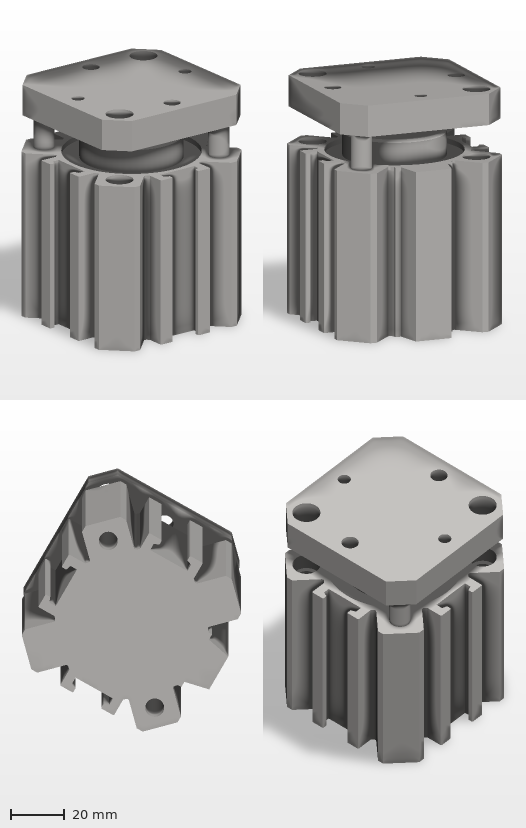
import cadquery as cq

total_height = 91.0
body_width = 67.0
body_height = 65.0
plate_width = 65.0
plate_thickness = 12.0
plate_chamfer = 8.0
half_body = body_width / 2
plate_bottom = total_height - plate_thickness

corner_chamfer = 9.6
lip_outer_side = 11.6
lip_edge_chamfer = 0.3
groove_outer = 21.4
groove_depth = 8.4
groove_fillet = 0.9

slot_half_opening = 6.0
slot_half_width = 8.0
slot_depth = 5.5
lip_tip_thickness = 2.0
lip_root_thickness = 2.7

port_depth_overall = 71.0
port_face_half_width = 7.2
port_slope = 0.22

collar_diameter = 39.0
collar_height = 8.0
collar_chamfer = 1.0
recess_diameter = 52.5
recess_depth = 2.0

corner_offset = 23.3
mount_hole_diameter = 7.0
counterbore_diameter = 10.5
counterbore_depth = 6.5
plate_hole_offset = 25.0
plate_hole_x_diameter = 6.5
plate_hole_y_diameter = 4.9

guide_rod_diameter = 8.0
piston_rod_diameter = 20.0
rod_flat_distance = 17.1
rod_flat_height = 4.4
rod_end_chamfer = 0.5

mount_points = [(-corner_offset, corner_offset), (corner_offset, -corner_offset)]
guide_points = [(-corner_offset, -corner_offset), (corner_offset, corner_offset)]
slotted_side_angles = [0, 90, -90]
all_side_angles = slotted_side_angles + [180]


def cylinder(diameter, bottom, height, points=((0, 0),)):
    """Upright cylinders of one size at the given points."""
    return (
        cq.Workplane("XY").workplane(offset=bottom)
        .pushPoints(points).circle(diameter / 2).extrude(height)
    )


def chamfered_square(width, chamfer, bottom, height):
    """Square block whose four upright edges are chamfered."""
    block = cq.Workplane("XY").box(width, width, height, centered=(True, True, False))
    return block.edges("|Z").chamfer(chamfer).translate((0, 0, bottom))


def side_prism(points):
    """Full-height prism on the -Y side, from (place along X, depth below the side)."""
    outline = [(along, depth - half_body) for along, depth in points]
    return cq.Workplane("XY").polyline(outline).close().extrude(body_height)


def turned(shape, angle):
    """Copy turned about the Z axis, to move a side feature to another side."""
    return shape.rotate((0, 0, 0), (0, 0, 1), angle)


def corner_groove():
    """Groove between a slot lip and a corner post; its floor is square to the slanted wall."""
    foot = groove_outer - groove_depth
    inner_depth = groove_depth - (foot - lip_outer_side)
    groove = side_prism([
        (lip_outer_side - lip_edge_chamfer, 0),
        (lip_outer_side, lip_edge_chamfer),
        (lip_outer_side, inner_depth),
        (foot, groove_depth),
        (groove_outer, 0),
    ])
    foot_point = (foot, groove_depth - half_body, body_height / 2)
    foot_edge = cq.selectors.NearestToPointSelector(foot_point)
    return groove.edges("|Z").edges(foot_edge).fillet(groove_fillet)


def sensor_slot():
    """Slot with a narrow mouth between two tapered lips."""
    half = [
        (slot_half_opening + lip_edge_chamfer, 0),
        (slot_half_opening, lip_edge_chamfer),
        (slot_half_opening, lip_tip_thickness),
        (slot_half_width, lip_root_thickness),
        (slot_half_width, slot_depth),
    ]
    return side_prism(half + [(-along, depth) for along, depth in reversed(half)])


def port_side_clearance():
    """Removes the lips and slot on the port side down to the slot floor."""
    return side_prism([
        (-lip_outer_side, 0),
        (-lip_outer_side, slot_depth),
        (lip_outer_side, slot_depth),
        (lip_outer_side, 0),
    ])


def port_boss():
    """Tapered full-height boss on the +Y side."""
    face_y = port_depth_overall - half_body
    root_y = half_body - slot_depth
    root_half_width = port_face_half_width + port_slope * (face_y - root_y)
    outline = [
        (-root_half_width, root_y),
        (-port_face_half_width, face_y),
        (port_face_half_width, face_y),
        (root_half_width, root_y),
    ]
    return cq.Workplane("XY").polyline(outline).close().extrude(body_height)


def make_housing():
    housing = chamfered_square(body_width, corner_chamfer, 0, body_height)
    groove = corner_groove()
    for angle in all_side_angles:
        housing = housing.cut(turned(groove, angle))
        housing = housing.cut(turned(groove.mirror("YZ"), angle))
    slot = sensor_slot()
    for angle in slotted_side_angles:
        housing = housing.cut(turned(slot, angle))
    housing = housing.cut(turned(port_side_clearance(), 180)).union(port_boss())

    collar_bottom = body_height - recess_depth
    housing = housing.cut(cylinder(recess_diameter, collar_bottom, recess_depth))
    collar = cylinder(collar_diameter, collar_bottom, recess_depth + collar_height)
    housing = housing.union(collar.faces(">Z").chamfer(collar_chamfer))

    housing = housing.cut(cylinder(mount_hole_diameter, 0, body_height, mount_points))
    counterbore_bottom = body_height - counterbore_depth
    counterbores = cylinder(counterbore_diameter, counterbore_bottom, counterbore_depth, mount_points)
    return housing.cut(counterbores)


def make_piston_rod():
    """Rod from the collar to the plate with two wrench flats at its top."""
    rod_bottom = body_height + collar_height
    rod = cylinder(piston_rod_diameter, rod_bottom, plate_bottom - rod_bottom)
    rod = rod.faces(">Z").chamfer(rod_end_chamfer)
    flat_bottom = plate_bottom - rod_flat_height
    flat_cutter = (
        cq.Workplane("XY").workplane(offset=flat_bottom)
        .rect(2 * piston_rod_diameter, 2 * piston_rod_diameter)
        .rect(rod_flat_distance, piston_rod_diameter)
        .extrude(rod_flat_height)
    )
    return rod.cut(flat_cutter)


def make_carriage():
    """Tool plate with its guide rods and piston rod, moving as one piece."""
    carriage = chamfered_square(plate_width, plate_chamfer, plate_bottom, plate_thickness)
    hole_groups = [
        (counterbore_diameter, mount_points),
        (plate_hole_x_diameter, [(-plate_hole_offset, 0), (plate_hole_offset, 0)]),
        (plate_hole_y_diameter, [(0, -plate_hole_offset), (0, plate_hole_offset)]),
    ]
    for diameter, points in hole_groups:
        carriage = carriage.cut(cylinder(diameter, plate_bottom, plate_thickness, points))
    guide_rods = cylinder(guide_rod_diameter, body_height, plate_bottom - body_height, guide_points)
    return carriage.union(guide_rods).union(make_piston_rod())


housing = make_housing()
carriage = make_carriage()
result = cq.Compound.makeCompound([housing.val(), carriage.val()])